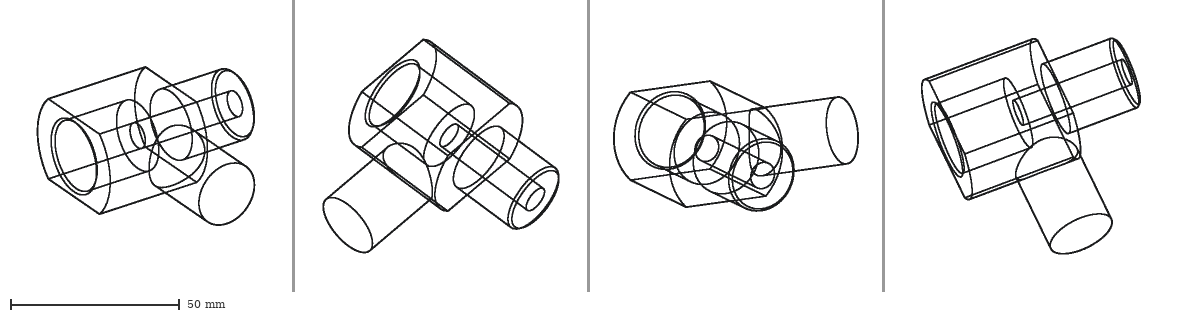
import cadquery as cq

body_diameter = 38.0
body_length = 35.0
body_height = 27.0

spigot_diameter = 22.0
spigot_length = 23.0
socket_diameter = spigot_diameter
socket_depth = spigot_length
edge_chamfer = 0.8
passage_diameter = 8.0

overall_width = 64.0
arm_diameter = 20.0
arm_reach = overall_width - body_diameter / 2
arm_offset = 24.0

overall_length = body_length + spigot_length


def cylinder_along_y(diameter, start, length):
    """Cylinder on the body axis, running toward +Y from start."""
    plane = cq.Plane(origin=(0, start, 0), xDir=(1, 0, 0), normal=(0, 1, 0))
    return cq.Workplane(plane).circle(diameter / 2).extrude(length)


flats_envelope = cq.Workplane("XY").box(
    body_diameter, body_length, body_height, centered=(True, False, True)
)
body = cylinder_along_y(body_diameter, 0, body_length).intersect(flats_envelope)

spigot = cylinder_along_y(spigot_diameter, body_length, spigot_length)
spigot = spigot.faces(">Y").chamfer(edge_chamfer)

arm = cq.Workplane("YZ").center(arm_offset, 0).circle(arm_diameter / 2).extrude(arm_reach)

socket = cylinder_along_y(socket_diameter, 0, socket_depth)
socket_mouth = cq.Workplane(
    cq.Solid.makeCone(
        socket_diameter / 2 + edge_chamfer,
        socket_diameter / 2,
        edge_chamfer,
        pnt=cq.Vector(0, 0, 0),
        dir=cq.Vector(0, 1, 0),
    )
)
passage = cylinder_along_y(passage_diameter, 0, overall_length)

result = body.union(spigot).union(arm).cut(socket).cut(socket_mouth).cut(passage)